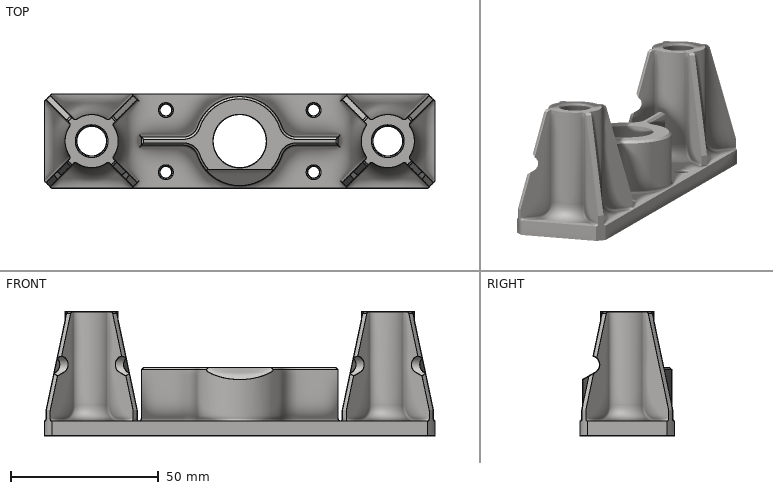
import cadquery as cq
import math

length = 132.0
width = 32.0
base_height = 5.0
corner_chamfer = 2.5

blend = 0.75
hole_chamfer = 0.5

tolerance = 0.1

screw_diameter = 4.0
screw_spacing_x = 49.9
screw_spacing_y = 21.0

total_height = 42.0
tower_offset = (length - width) / 2
tower_radius = 9.0
tower_bore = 10.0
tower_cove = 5.0
rib_thickness = 2.0
rib_top_diameter = 22.0
rib_top_radius = rib_top_diameter / 2
rib_top_chamfer = 0.7
rib_heel_z = 8.6
rib_overrun = 4.0
rib_reach = (width - corner_chamfer) / math.sqrt(2)

boss_radius = 15.0
boss_bore = 18.0
boss_top = 23.1
arm_span = 66.5
arm_thickness = 2.8
arm_blend = 5.0
boss_chamfer = 0.8

groove_radius = 3.0
groove_y = -12.4
groove_z = 24.0
groove_slope = 30.0
groove_run = 13.2


def plate(size_x, height):
    """Rectangular plate with chamfered vertical corners, standing on Z = 0."""
    blank = cq.Workplane("XY").rect(size_x, width).extrude(height)
    return blank.edges("|Z").chamfer(corner_chamfer)


def tower_body():
    """Solid round tower that flares into a flat disc at the base."""
    flare_radius = tower_radius + tower_cove
    disc_radius = width
    cove_mid = tower_cove * (1 - math.sqrt(0.5))
    return (
        cq.Workplane("XZ")
        .lineTo(disc_radius, 0)
        .lineTo(disc_radius, base_height)
        .lineTo(flare_radius, base_height)
        .threePointArc(
            (tower_radius + cove_mid, base_height + cove_mid),
            (tower_radius, base_height + tower_cove),
        )
        .lineTo(tower_radius, total_height)
        .lineTo(0, total_height)
        .close()
        .revolve(360, (0, 0, 0), (0, 1, 0))
    )


def rib_pair():
    """Two opposite ribs along X, running past their final reach."""
    outer_end = rib_reach + rib_overrun
    half = [
        (outer_end, base_height / 2),
        (outer_end, rib_heel_z),
        (rib_reach, rib_heel_z),
        (rib_top_radius, total_height - rib_top_chamfer),
        (rib_top_radius - rib_top_chamfer, total_height),
    ]
    mirrored = [(-x, z) for x, z in reversed(half)]
    outline = cq.Workplane("XZ").polyline(half + mirrored).close()
    return outline.extrude(rib_thickness / 2, both=True)


def tower():
    """Ribbed tower centred on Z, trimmed to a square footprint with cut corners."""
    body = tower_body()
    for angle in (45, 135):
        body = body.union(rib_pair().rotate((0, 0, 0), (0, 0, 1), angle))

    def is_rib_root(edge):
        middle = edge.positionAt(0.5)
        box = edge.BoundingBox()
        across = min(abs(middle.x - middle.y), abs(middle.x + middle.y)) / math.sqrt(2)
        on_rib_side = abs(across - rib_thickness / 2) < tolerance
        radius = math.hypot(middle.x, middle.y)
        on_tower = abs(radius - tower_radius) < tolerance
        starts_at_base = abs(box.zmin - base_height) < tolerance
        stays_below_cove_top = box.zmax < base_height + tower_cove + tolerance
        on_foot = radius < rib_reach and starts_at_base and stays_below_cove_top
        return on_rib_side and (on_tower or on_foot)

    body = body.edges().filter(is_rib_root).fillet(blend)
    return body.intersect(plate(width, total_height))


def boss():
    """Round boss with two slim arms and a chamfered rim."""
    disc = cq.Workplane("XY").circle(boss_radius).extrude(boss_top)
    arms = cq.Workplane("XY").rect(arm_span, arm_thickness).extrude(boss_top)
    body = disc.union(arms)
    near_disc = cq.selectors.BoxSelector(
        (-boss_radius - tolerance, -arm_thickness, 0),
        (boss_radius + tolerance, arm_thickness, boss_top),
    )
    body = body.edges("|Z").edges(near_disc).fillet(arm_blend)
    return body.faces(">Z").edges().chamfer(boss_chamfer)


def groove():
    """Round-bottomed channel along X whose floor falls away towards -Y."""
    rod = cq.Workplane("YZ").circle(groove_radius).extrude(length, both=True)
    mouth = (
        cq.Workplane("YZ")
        .center(-groove_run / 2, 0)
        .rect(groove_run, 2 * groove_radius)
        .extrude(length, both=True)
    )
    channel = rod.union(mouth).rotate((0, 0, 0), (1, 0, 0), groove_slope)
    return channel.translate((0, groove_y, groove_z))


def bore(x, y, diameter, top, chamfer=0):
    """Through-hole cutter with an optional chamfer at its upper rim."""
    cutter = cq.Workplane("XY").circle(diameter / 2).extrude(top)
    if chamfer:
        cone = cq.Solid.makeCone(diameter / 2, diameter / 2 + chamfer, chamfer)
        cutter = cutter.union(cq.Workplane(cone.translate(cq.Vector(0, 0, top - chamfer))))
    return cutter.translate((x, y, 0))


result = plate(length, base_height).union(boss())
foot_region = cq.selectors.BoxSelector(
    (-arm_span / 2 - tolerance, -boss_radius - tolerance, base_height - tolerance),
    (arm_span / 2 + tolerance, boss_radius + tolerance, base_height + tolerance),
)
result = result.edges(foot_region).fillet(blend)

for side in (-1, 1):
    result = result.union(tower().translate((side * tower_offset, 0, 0)))

result = result.cut(groove())

result = result.cut(bore(0, 0, boss_bore, boss_top))
for side in (-1, 1):
    result = result.cut(bore(side * tower_offset, 0, tower_bore, total_height, hole_chamfer))
    for row in (-1, 1):
        screw_x = side * screw_spacing_x / 2
        screw_y = row * screw_spacing_y / 2
        result = result.cut(bore(screw_x, screw_y, screw_diameter, base_height, hole_chamfer))